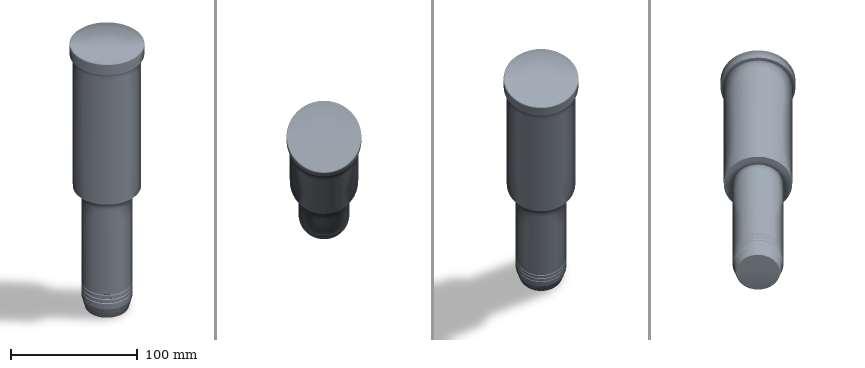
import cadquery as cq
import math

total_length = 251.0
head_diameter = 59.0
head_height = 10.0
head_chamfer = 0.5
body_diameter = 54.0
body_bottom_z = 115.0
shaft_diameter = 40.0

head_relief_depth = 0.25
head_relief_height = 1.0
shaft_relief_depth = 0.5
shaft_relief_height = 1.0

nose_length = 10.0
nose_half_angle = 15.0
tip_chamfer = 0.3

groove_count = 3
groove_pitch = 4.0
groove_width = 1.0
groove_depth = groove_width / 2
lowest_groove_z = 15.5

head_radius = head_diameter / 2
body_radius = body_diameter / 2
shaft_radius = shaft_diameter / 2
head_bottom_z = total_length - head_height


def revolve_about_z(profile):
    """Turn a closed XZ half-profile fully around the Z axis."""
    return profile.revolve(360, (0, 0, 0), (0, 1, 0))


def make_pillar():
    """Turned body, from the conical nose up to the chamfered head."""
    nose_slope = math.tan(math.radians(nose_half_angle))
    nose_end_radius = shaft_radius - (nose_length - tip_chamfer) * nose_slope
    profile = (
        cq.Workplane("XZ")
        .lineTo(nose_end_radius - tip_chamfer, 0)
        .lineTo(nose_end_radius, tip_chamfer)
        .lineTo(shaft_radius, nose_length)
        .lineTo(shaft_radius, body_bottom_z)
        .lineTo(body_radius, body_bottom_z)
        .lineTo(body_radius, head_bottom_z)
        .lineTo(head_radius, head_bottom_z)
        .lineTo(head_radius, total_length - head_chamfer)
        .lineTo(head_radius - head_chamfer, total_length)
        .lineTo(0, total_length)
        .close()
    )
    return revolve_about_z(profile)


def make_relief_ring(outer_radius, depth, height, shoulder_z):
    """Rectangular ring that cuts a neck directly below a shoulder."""
    return (
        cq.Workplane("XY", origin=(0, 0, shoulder_z - height))
        .circle(outer_radius)
        .circle(outer_radius - depth)
        .extrude(height)
    )


def make_groove_ring(center_z):
    """Triangular ring that cuts one V groove into the shaft.

    The flanks run on past the shaft surface, so the ring breaks cleanly through it.
    """
    overlap = groove_depth
    outer_radius = shaft_radius + overlap
    half_opening = groove_width / 2 * (groove_depth + overlap) / groove_depth
    profile = (
        cq.Workplane("XZ")
        .moveTo(shaft_radius - groove_depth, center_z)
        .lineTo(outer_radius, center_z - half_opening)
        .lineTo(outer_radius, center_z + half_opening)
        .close()
    )
    return revolve_about_z(profile)


def cut_reliefs(part):
    """Cut the necks under the head and under the body."""
    head_relief = make_relief_ring(body_radius, head_relief_depth, head_relief_height, head_bottom_z)
    shaft_relief = make_relief_ring(shaft_radius, shaft_relief_depth, shaft_relief_height, body_bottom_z)
    return part.cut(head_relief).cut(shaft_relief)


def cut_grooves(part):
    """Cut the evenly spaced grooves above the nose."""
    for index in range(groove_count):
        part = part.cut(make_groove_ring(lowest_groove_z + index * groove_pitch))
    return part


result = cut_grooves(cut_reliefs(make_pillar()))